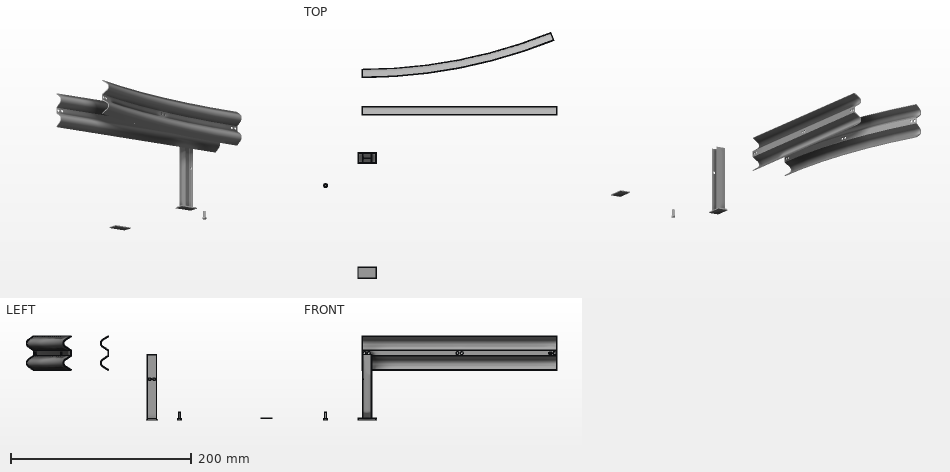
import cadquery as cq
import math


RAIL_START_X = 40.5
RAIL_LENGTH = 216.0
RAIL_MID_Z = 74.5
RAIL_SHEET = 1.0
CREST_RADIUS = 4.0
CREST_CENTER_DEPTH = 4.0
CREST_OFFSET_Z = 11.0
LEG_ANGLE = 33.0
STRAIGHT_RAIL_Y = 78.5
CURVED_RAIL_Y = 120.0
BEND_RADIUS = 567.5
BEND_ANGLE = 22.0

HOLE_DIAMETER = 3.0
HOLE_PITCH = 5.0
END_HOLE_INSET = 2.5
HOLE_CUT_LENGTH = 5.5

POST_X = 46.0
POST_Y = 30.5
POST_SIDE = 10.5
POST_TOP_Z = 72.8
FLANGE_THICKNESS = 1.0
WEB_THICKNESS = 0.5
FOOT_LENGTH = 20.7
FOOT_WIDTH = 12.3
FOOT_HEIGHT = 1.5
FOOT_TAPER_INSET = 1.0
WEB_FILLET = 1.0
POST_HOLE_PITCH = 5.0
POST_HOLE_Z = 45.5

PLATE_Y = -96.7
PLATE_BOTTOM_Z = FOOT_HEIGHT
PLATE_THICKNESS = 1.0

BOLT_LENGTH = 9.0
BOLT_HEAD_DIAMETER = 4.4
BOLT_HEAD_HEIGHT = 1.5
BOLT_SHANK_DIAMETER = 2.48


def wave_points(sheet_offset):
    """(depth, height) points of one wave on a face offset back from the front face.

    Order: flat edge, lower tangent, crest top, upper tangent.
    """
    leg = math.radians(LEG_ANGLE)
    radius = CREST_RADIUS + sheet_offset
    tangent_depth = CREST_CENTER_DEPTH + radius * math.sin(leg)
    tangent_rise = radius * math.cos(leg)
    leg_rise = (tangent_depth - sheet_offset) * math.tan(leg)
    return [
        (sheet_offset, CREST_OFFSET_Z - tangent_rise - leg_rise),
        (tangent_depth, CREST_OFFSET_Z - tangent_rise),
        (CREST_CENTER_DEPTH + radius, CREST_OFFSET_Z),
        (tangent_depth, CREST_OFFSET_Z + tangent_rise),
    ]


def rail_section(front_y):
    """Closed rail outline in the YZ plane at the start of the rail."""
    leg = math.radians(LEG_ANGLE)
    front_flat, front_low, front_crest, front_high = wave_points(0)
    back_flat, back_low, back_crest, back_high = wave_points(RAIL_SHEET)
    front_end = (0, front_high[1] + front_high[0] * math.tan(leg))
    back_end = (RAIL_SHEET * math.sin(leg), front_end[1] + RAIL_SHEET * math.cos(leg))

    def below(point):
        return (point[0], -point[1])

    return (
        cq.Workplane("YZ", origin=(RAIL_START_X, front_y, RAIL_MID_Z))
        .moveTo(*below(front_flat))
        .lineTo(*front_flat)
        .lineTo(*front_low)
        .threePointArc(front_crest, front_high)
        .lineTo(*front_end)
        .lineTo(*back_end)
        .lineTo(*back_high)
        .threePointArc(back_crest, back_low)
        .lineTo(*back_flat)
        .lineTo(*below(back_flat))
        .lineTo(*below(back_low))
        .threePointArc(below(back_crest), below(back_high))
        .lineTo(*below(back_end))
        .lineTo(*below(front_end))
        .lineTo(*below(front_high))
        .threePointArc(below(front_crest), below(front_low))
        .close()
    )


def rail_hole_distances(length):
    """Distances of the holes from the start of a rail of the given length."""
    return [
        END_HOLE_INSET,
        END_HOLE_INSET + HOLE_PITCH,
        (length - HOLE_PITCH) / 2,
        (length + HOLE_PITCH) / 2,
        length - END_HOLE_INSET - HOLE_PITCH,
        length - END_HOLE_INSET,
    ]


def hole_cutter(x, front_y):
    """Cylinder along Y, centred on the front face of a rail."""
    return cq.Workplane("XZ", origin=(x, front_y, RAIL_MID_Z)).circle(HOLE_DIAMETER / 2).extrude(
        HOLE_CUT_LENGTH / 2, both=True
    )


def make_straight_rail():
    rail = rail_section(STRAIGHT_RAIL_Y).extrude(RAIL_LENGTH)
    for distance in rail_hole_distances(RAIL_LENGTH):
        rail = rail.cut(hole_cutter(RAIL_START_X + distance, STRAIGHT_RAIL_Y))
    return rail


def make_curved_rail():
    rail = rail_section(CURVED_RAIL_Y).revolve(BEND_ANGLE, (BEND_RADIUS, 0), (BEND_RADIUS, 1))
    axis_y = CURVED_RAIL_Y + BEND_RADIUS
    axis_start = (RAIL_START_X, axis_y, 0)
    axis_end = (RAIL_START_X, axis_y, 1)
    for distance in rail_hole_distances(BEND_RADIUS * math.radians(BEND_ANGLE)):
        turn = math.degrees(distance / BEND_RADIUS)
        cutter = hole_cutter(RAIL_START_X, CURVED_RAIL_Y).rotate(axis_start, axis_end, turn)
        rail = rail.cut(cutter)
    return rail


def make_post():
    half = POST_SIDE / 2
    flange_face = FLANGE_THICKNESS - half
    column_height = POST_TOP_Z - FOOT_HEIGHT
    base = cq.Workplane("XY", origin=(POST_X, POST_Y, FOOT_HEIGHT))

    foot = (
        cq.Workplane("XY", origin=(POST_X, POST_Y, 0))
        .rect(FOOT_LENGTH, FOOT_WIDTH)
        .workplane(offset=FOOT_HEIGHT)
        .rect(FOOT_LENGTH - 2 * FOOT_TAPER_INSET, FOOT_WIDTH - 2 * FOOT_TAPER_INSET)
        .loft(ruled=True)
    )

    flange_centers = [(side * (half - FLANGE_THICKNESS / 2), 0) for side in (-1, 1)]
    flanges = base.pushPoints(flange_centers).rect(FLANGE_THICKNESS, POST_SIDE).extrude(column_height)
    web = base.rect(POST_SIDE - FLANGE_THICKNESS, WEB_THICKNESS).extrude(column_height)

    column = flanges.union(web)
    corner_selector = cq.selectors.BoxSelector(
        (POST_X + flange_face - FLANGE_THICKNESS / 2, POST_Y - FLANGE_THICKNESS, FOOT_HEIGHT),
        (POST_X + flange_face + FLANGE_THICKNESS / 2, POST_Y + FLANGE_THICKNESS, POST_TOP_Z),
    )
    column = column.edges("|Z").edges(corner_selector).fillet(WEB_FILLET)

    holes = (
        cq.Workplane("YZ", origin=(POST_X - half, POST_Y, POST_HOLE_Z))
        .pushPoints([(side * POST_HOLE_PITCH / 2, 0) for side in (-1, 1)])
        .circle(HOLE_DIAMETER / 2)
        .extrude(FLANGE_THICKNESS + WEB_FILLET)
    )
    return foot.union(column).cut(holes)


def make_plate():
    return (
        cq.Workplane("XY", origin=(POST_X, PLATE_Y, PLATE_BOTTOM_Z))
        .rect(FOOT_LENGTH, FOOT_WIDTH)
        .extrude(PLATE_THICKNESS)
    )


def make_bolt():
    head = cq.Workplane("XY").circle(BOLT_HEAD_DIAMETER / 2).extrude(BOLT_HEAD_HEIGHT)
    shank = cq.Workplane("XY").circle(BOLT_SHANK_DIAMETER / 2).extrude(BOLT_LENGTH)
    return head.union(shank)


straight_rail = make_straight_rail()
curved_rail = make_curved_rail()
post = make_post()
plate = make_plate()
bolt = make_bolt()

result = cq.Compound.makeCompound([
    straight_rail.val(),
    curved_rail.val(),
    post.val(),
    plate.val(),
    bolt.val(),
])